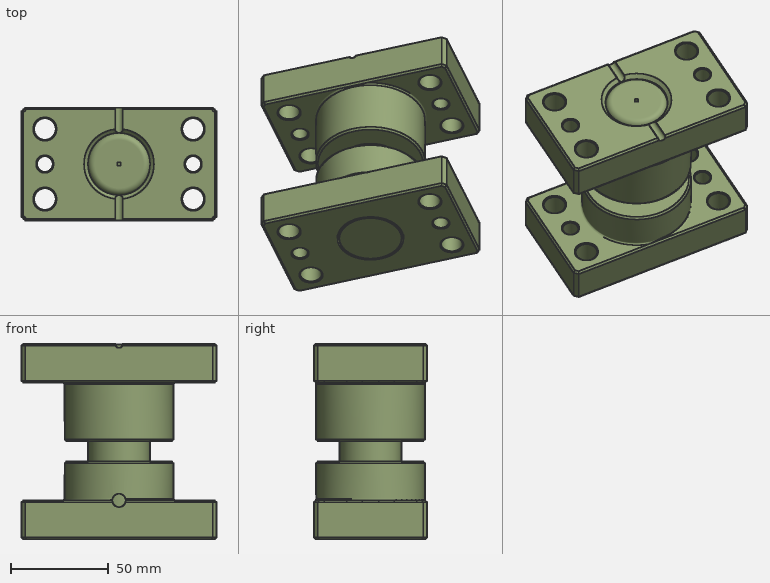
import cadquery as cq
import math

TOTAL_HEIGHT = 100.3
PLATE_THICKNESS = 20.0
LOWER_BOSS_HEIGHT = 20.0
UPPER_BOSS_HEIGHT = 30.0

PLATE_LENGTH = 100.0
PLATE_WIDTH = 58.0
CORNER_CHAMFER = 2.0
EDGE_CHAMFER = 1.0

BOSS_RADIUS = PLATE_WIDTH / 2 - EDGE_CHAMFER
BOSS_CHAMFER = 1.0
COVE_RADIUS = 0.9

PIN_RADIUS = 16.0
PIN_LENGTH = 100.0
PIN_ROUNDING = 3.4
CENTER_HOLE_RADIUS = 1.0
CENTER_HOLE_DEPTH = 3.0
LOWER_BORE_RADIUS = 17.0
BORE_COUNTERSINK = 2.0

HOLE_X = 38.0
SCREW_HOLE_Y = 18.0
SCREW_HOLE_DIAMETER = 11.0
DOWEL_HOLE_DIAMETER = 8.0
HOLE_CHAMFER = 0.5

GROOVE_RADIUS = 2.0

VENT_RADIUS = 3.4


def hole_cutter(x, y, diameter):
    """Through hole with a small chamfer at both plate faces."""
    radius = diameter / 2
    wide_radius = radius + HOLE_CHAMFER
    profile = [
        (0, 0),
        (wide_radius, 0),
        (radius, HOLE_CHAMFER),
        (radius, PLATE_THICKNESS - HOLE_CHAMFER),
        (wide_radius, PLATE_THICKNESS),
        (0, PLATE_THICKNESS),
    ]
    return cq.Workplane("XZ").polyline(profile).close().revolve().translate((x, y, 0))


def make_plate():
    """Chamfered plate standing on Z = 0 with its six mounting holes."""
    plate = (
        cq.Workplane("XY")
        .box(PLATE_LENGTH, PLATE_WIDTH, PLATE_THICKNESS, centered=(True, True, False))
        .edges("|Z").chamfer(CORNER_CHAMFER)
        .faces("<Z or >Z").edges().chamfer(EDGE_CHAMFER)
    )
    for x in (-HOLE_X, HOLE_X):
        plate = plate.cut(hole_cutter(x, 0, DOWEL_HOLE_DIAMETER))
        for y in (-SCREW_HOLE_Y, SCREW_HOLE_Y):
            plate = plate.cut(hole_cutter(x, y, SCREW_HOLE_DIAMETER))
    return plate


def make_boss(boss_height):
    """Chamfered boss, rooted halfway down the plate."""
    root_depth = PLATE_THICKNESS / 2
    return (
        cq.Workplane("XY", origin=(0, 0, PLATE_THICKNESS - root_depth))
        .circle(BOSS_RADIUS)
        .extrude(root_depth + boss_height)
        .faces(">Z").chamfer(BOSS_CHAMFER)
    )


def make_cove():
    """Concave foot of a boss, kept within the flat width of the plate face."""
    foot_radius = BOSS_RADIUS + COVE_RADIUS
    top = PLATE_THICKNESS + COVE_RADIUS
    arc_inset = COVE_RADIUS * (1 - math.sqrt(0.5))
    arc_middle = (BOSS_RADIUS + arc_inset, PLATE_THICKNESS + arc_inset)
    foot = (
        cq.Workplane("XZ")
        .moveTo(0, PLATE_THICKNESS)
        .lineTo(foot_radius, PLATE_THICKNESS)
        .threePointArc(arc_middle, (BOSS_RADIUS, top))
        .lineTo(0, top)
        .close()
        .revolve()
    )
    flat_width = PLATE_WIDTH - 2 * EDGE_CHAMFER
    return foot.intersect(cq.Workplane("XY").box(PLATE_LENGTH, flat_width, 2 * top))


def make_flanged_sleeve(boss_height, bore_radius):
    """Plate on Z = 0 with a boss on its top face and a bore through both."""
    bore = cq.Workplane("XY").circle(bore_radius).extrude(PLATE_THICKNESS + boss_height)
    return make_plate().union(make_boss(boss_height)).union(make_cove()).cut(bore)


def make_lower_sleeve():
    """Lower body with a vent hole from the -Y side into the bore."""
    vent = (
        cq.Workplane("XZ", origin=(0, 0, PLATE_THICKNESS))
        .circle(VENT_RADIUS)
        .extrude(PLATE_WIDTH / 2)
    )
    return make_flanged_sleeve(LOWER_BOSS_HEIGHT, LOWER_BORE_RADIUS).cut(vent)


def make_upper_sleeve():
    """Upper body, boss downward, with a countersunk bore and a groove across its top."""
    sleeve = (
        make_flanged_sleeve(UPPER_BOSS_HEIGHT, PIN_RADIUS)
        .rotate((0, 0, 0), (1, 0, 0), 180)
        .translate((0, 0, TOTAL_HEIGHT))
    )
    countersink = cq.Solid.makeCone(
        PIN_RADIUS,
        PIN_RADIUS + BORE_COUNTERSINK,
        BORE_COUNTERSINK,
        pnt=cq.Vector(0, 0, TOTAL_HEIGHT - BORE_COUNTERSINK),
    )
    groove = (
        cq.Workplane("XZ", origin=(0, 0, TOTAL_HEIGHT))
        .circle(GROOVE_RADIUS)
        .extrude(PLATE_WIDTH / 2, both=True)
    )
    return sleeve.cut(cq.Workplane(countersink)).cut(groove)


def make_pin():
    """Pin standing on Z = 0, rounded at its top end, with a small blind center hole."""
    return (
        cq.Workplane("XY")
        .circle(PIN_RADIUS)
        .extrude(PIN_LENGTH)
        .faces(">Z").edges().fillet(PIN_ROUNDING)
        .faces(">Z").workplane()
        .hole(2 * CENTER_HOLE_RADIUS, CENTER_HOLE_DEPTH)
    )


lower_sleeve = make_lower_sleeve().solids()
upper_sleeve = make_upper_sleeve().solids()
pin = make_pin().solids()

result = cq.Compound.makeCompound([lower_sleeve.val(), upper_sleeve.val(), pin.val()])